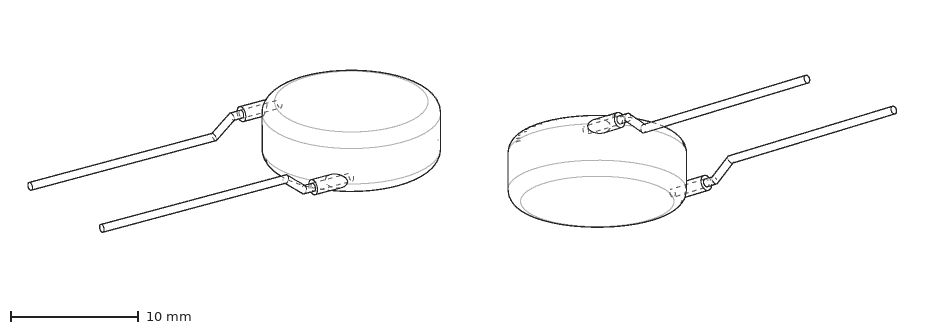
import cadquery as cq

disc_diameter = 14.0
disc_thickness = 5.0
disc_edge_radius = 1.0
disc_radius = disc_diameter / 2

total_length = 34.0
lead_pitch = 10.03
lead_diameter = 0.65
lead_height = 1.33
lead_root_y = -3.4
crank_start_y = -7.9
crank_end_y = -9.6
lead_tip_y = disc_radius - total_length

sleeve_diameter = 1.22
sleeve_end_y = -disc_radius

lead_roots = [
    (-lead_pitch / 2, lead_height),
    (lead_pitch / 2, -lead_height),
]


def rod_along_y(x, z, diameter, start_y, end_y):
    """Round rod from start_y toward -Y, ending at end_y."""
    start = cq.Workplane("XZ", origin=(x, start_y, z))
    return start.circle(diameter / 2).extrude(start_y - end_y)


def make_lead(x, z):
    """Round wire with two mitred bends that bring it to the mid-plane."""
    path = cq.Workplane("YZ", origin=(x, 0, 0)).polyline([
        (lead_root_y, z),
        (crank_start_y, z),
        (crank_end_y, 0),
        (lead_tip_y, 0),
    ])
    section = cq.Workplane("XZ", origin=(x, lead_root_y, z)).circle(lead_diameter / 2)
    return section.sweep(path, transition="right")


def make_coating():
    """Rounded disc with its two sleeves, bored to fit the leads."""
    bottom = cq.Workplane("XY", origin=(0, 0, -disc_thickness / 2))
    disc = bottom.circle(disc_radius).extrude(disc_thickness)
    coating = disc.faces("|Z").edges().fillet(disc_edge_radius)
    for x, z in lead_roots:
        coating = coating.union(rod_along_y(x, z, sleeve_diameter, lead_root_y, sleeve_end_y))
    for x, z in lead_roots:
        coating = coating.cut(rod_along_y(x, z, lead_diameter, lead_root_y, sleeve_end_y))
    return coating


coating = make_coating()
leads = [make_lead(x, z) for x, z in lead_roots]

result = cq.Compound.makeCompound([coating.solids().val(), *[lead.val() for lead in leads]])